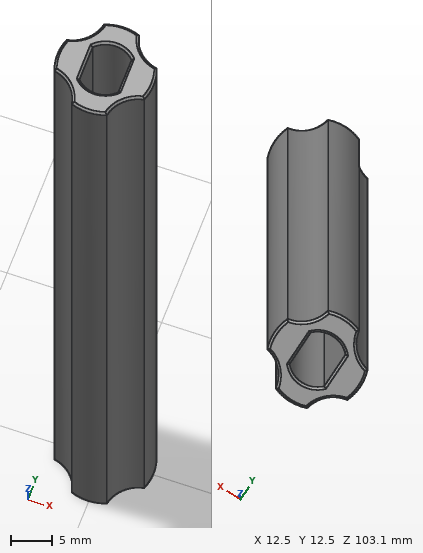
import cadquery as cq
import math

length = 103.1
outer_diameter = 12.5

lobe_count = 4
lobe_half_width = 2.3
flute_radius = 4.4

bore_diameter = 6.9
bore_flat_width = 5.1

end_chamfer = 0.3

outer_radius = outer_diameter / 2
lobe_corner_reach = math.sqrt(outer_radius**2 - lobe_half_width**2)
flute_mouth = (lobe_corner_reach - lobe_half_width) * math.sqrt(2)
flute_depth = flute_radius - math.sqrt(flute_radius**2 - (flute_mouth / 2) ** 2)
flute_bottom = (lobe_corner_reach + lobe_half_width) / 2 - flute_depth * math.sqrt(0.5)


def turned(x, y, quarter_turns):
    """Turn a point about the axis by whole quarter turns."""
    for _ in range(quarter_turns):
        x, y = -y, x
    return x, y


def make_body():
    """Fluted bar: an arc over each lobe, then a concave arc to the next one."""
    outline = cq.Workplane("XY").moveTo(lobe_corner_reach, -lobe_half_width)
    for turn in range(lobe_count):
        outline = outline.threePointArc(
            turned(outer_radius, 0, turn),
            turned(lobe_corner_reach, lobe_half_width, turn),
        )
        outline = outline.threePointArc(
            turned(flute_bottom, flute_bottom, turn),
            turned(lobe_half_width, lobe_corner_reach, turn),
        )
    return outline.close().extrude(length)


def make_bore():
    """Round bore trimmed by two parallel flats."""
    round_bore = cq.Workplane("XY").circle(bore_diameter / 2).extrude(length)
    flats = cq.Workplane("XY").rect(bore_flat_width, bore_diameter).extrude(length)
    return round_bore.intersect(flats)


bar = make_body().cut(make_bore())
result = bar.faces("<Z or >Z").edges().chamfer(end_chamfer)